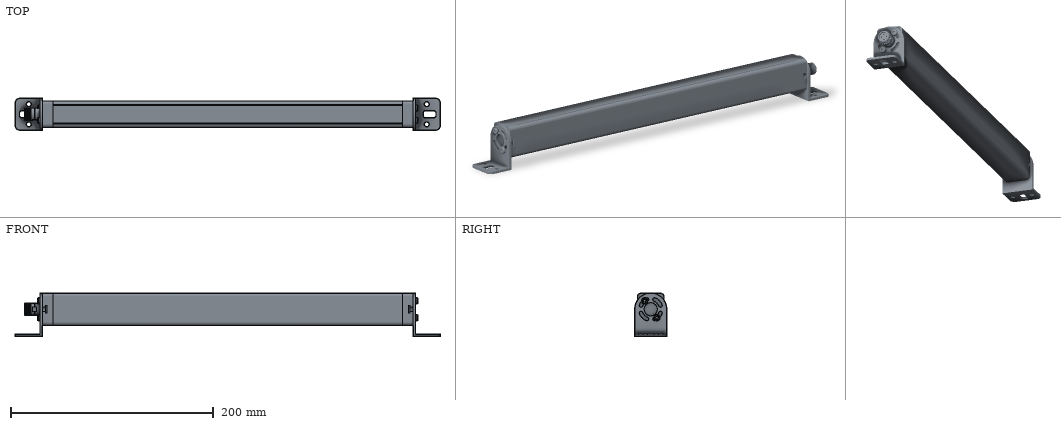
import cadquery as cq
import math

overall_length = 419.3
overall_height = 42.57

bracket_width = 31.75
sheet_thickness = 2.3
bend_radius = 0.4
foot_length = 26.8
foot_corner_radius = 5.0
centre_slot_length = 12.2
centre_slot_width = 6.8
centre_slot_corner_radius = 1.8
centre_slot_from_tip = 10.6
side_hole_diameter = 4.6
side_hole_from_tip = 13.5
side_hole_offset = 10.0
connector_hole_diameter = 13.0
arc_slot_count = 4
arc_slot_radius = 10.3
arc_slot_width = 3.5
arc_slot_half_angle = 24.0

body_width = 26.2
body_bottom = 10.6
corner_radius = 3.5

cap_length = 10.7
latch_length = 1.8
latch_height = 7.0
latch_depth = 2.4
latch_from_bracket = 3.0
latch_channel_diameter = 4.6

lens_width = 17.8
lens_groove_width = 1.0
lens_groove_depth = 0.6

connector_diameter = 12.0
connector_length = 15.4
connector_chamfer = 0.8
thread_length = 6.6
thread_groove_count = 5
thread_groove_width = 0.5
thread_depth = 0.5
collar_neck_width = 0.6
collar_neck_position = 10.0
socket_diameter = 9.0
socket_depth = 1.5
pin_count = 4
pin_diameter = 1.4
pin_circle_radius = 2.8
key_notch_length = 4.0
key_notch_height = 4.0
key_notch_depth = 1.0
key_notch_from_end = 8.0

screw_angle = 54.0
screw_head_diameter = 6.2
screw_head_height = 2.2
screw_head_chamfer = 0.6
screw_shank_diameter = 3.0
screw_depth_in_cap = 6.0
hex_socket_size = 2.5
hex_socket_depth = 1.2

bracket_radius = bracket_width / 2
axis_height = overall_height - bracket_radius
body_height = overall_height - body_bottom
tip_x = -overall_length / 2
bracket_outer_x = tip_x + foot_length - sheet_thickness
cap_outer_x = tip_x + foot_length
cap_inner_x = cap_outer_x + cap_length


def bar(start_x, length):
    """A length of the rounded rectangular bar section."""
    return (
        cq.Workplane("YZ", origin=(start_x, 0, body_bottom + body_height / 2))
        .rect(body_width, body_height)
        .extrude(length)
        .edges("|X")
        .fillet(corner_radius)
    )


def rod(start_x, y, z, diameter, length):
    """A cylinder running along +X."""
    return cq.Workplane("YZ", origin=(start_x, y, z)).circle(diameter / 2).extrude(length)


def polar(radius, degrees):
    """Y and Z of a point around the connector axis."""
    angle = math.radians(degrees)
    return radius * math.cos(angle), axis_height + radius * math.sin(angle)


screw_places = [polar(arc_slot_radius, 180 - screw_angle), polar(arc_slot_radius, -screw_angle)]


def make_housing():
    """Long bar with two grooves that border the lens strip on its top face."""
    length = -2 * cap_inner_x
    grooves = (
        cq.Workplane("XY", origin=(0, 0, overall_height - lens_groove_depth))
        .pushPoints([(0, -lens_width / 2), (0, lens_width / 2)])
        .rect(length, lens_groove_width)
        .extrude(lens_groove_depth)
    )
    return bar(cap_inner_x, length).cut(grooves)


def make_cap():
    """Left end cap with screw holes, and a latch slot with a round lead-in channel in each side."""
    cap = bar(cap_outer_x, cap_length)
    for y, z in screw_places:
        cap = cap.cut(rod(cap_outer_x, y, z, screw_shank_diameter, screw_depth_in_cap))
    latch_x = cap_outer_x + latch_from_bracket + latch_length / 2
    latches = (
        cq.Workplane("XY")
        .pushPoints([(latch_x, -body_width / 2), (latch_x, body_width / 2)])
        .box(latch_length, 2 * latch_depth, latch_height)
        .translate((0, 0, axis_height))
    )
    cap = cap.cut(latches)
    for side_y in (-body_width / 2, body_width / 2):
        cap = cap.cut(rod(cap_outer_x, side_y, axis_height, latch_channel_diameter, latch_from_bracket))
    return cap


def make_connector():
    """Round threaded connector that stands on the left cap, with a shallow pin socket."""
    end_x = bracket_outer_x - connector_length
    radius = connector_diameter / 2
    connector = rod(end_x, 0, axis_height, connector_diameter, cap_outer_x - end_x)
    connector = connector.faces("<X").chamfer(connector_chamfer)

    pitch = (thread_length - connector_chamfer) / thread_groove_count
    grooves = [
        (end_x + connector_chamfer + (turn + 0.5) * pitch, thread_groove_width)
        for turn in range(thread_groove_count)
    ]
    grooves.append((end_x + collar_neck_position, collar_neck_width))
    for groove_x, width in grooves:
        ring = (
            cq.Workplane("YZ", origin=(groove_x, 0, axis_height))
            .circle(radius)
            .circle(radius - thread_depth)
            .extrude(width)
        )
        connector = connector.cut(ring)

    connector = connector.cut(rod(end_x, 0, axis_height, socket_diameter, socket_depth))
    for pin in range(pin_count):
        y, z = polar(pin_circle_radius, pin * 360 / pin_count)
        connector = connector.union(rod(end_x, y, z, pin_diameter, socket_depth))

    key_notch = cq.Workplane("XY").box(key_notch_length, 2 * key_notch_depth, key_notch_height)
    notch_x = end_x + key_notch_from_end + key_notch_length / 2
    return connector.cut(key_notch.translate((notch_x, -radius, axis_height)))


def arc_slot(middle_angle):
    """Round-ended slot that follows a circle around the connector axis."""
    half_width = arc_slot_width / 2
    start = middle_angle - arc_slot_half_angle
    end = middle_angle + arc_slot_half_angle
    inner = arc_slot_radius - half_width
    outer = arc_slot_radius + half_width
    end_cap_turn = math.degrees(half_width / arc_slot_radius)
    return (
        cq.Workplane("YZ", origin=(bracket_outer_x, 0, 0))
        .moveTo(*polar(outer, start))
        .threePointArc(polar(outer, middle_angle), polar(outer, end))
        .threePointArc(polar(arc_slot_radius, end + end_cap_turn), polar(inner, end))
        .threePointArc(polar(inner, middle_angle), polar(inner, start))
        .threePointArc(polar(arc_slot_radius, start - end_cap_turn), polar(outer, start))
        .close()
        .extrude(sheet_thickness)
    )


def make_bracket():
    """Left angle bracket: slotted foot and a round-topped upright."""
    foot = (
        cq.Workplane("XY", origin=(tip_x + foot_length / 2, 0, 0))
        .rect(foot_length, bracket_width)
        .extrude(sheet_thickness)
        .edges("|Z and <X")
        .fillet(foot_corner_radius)
    )
    centre_slot = (
        cq.Workplane("XY", origin=(tip_x + centre_slot_from_tip, 0, 0))
        .rect(centre_slot_length, centre_slot_width)
        .extrude(sheet_thickness)
        .edges("|Z")
        .fillet(centre_slot_corner_radius)
    )
    side_holes = (
        cq.Workplane("XY", origin=(tip_x + side_hole_from_tip, 0, 0))
        .pushPoints([(0, -side_hole_offset), (0, side_hole_offset)])
        .circle(side_hole_diameter / 2)
        .extrude(sheet_thickness)
    )
    upright = (
        cq.Workplane("YZ", origin=(bracket_outer_x, 0, 0))
        .moveTo(-bracket_radius, 0)
        .lineTo(bracket_radius, 0)
        .lineTo(bracket_radius, axis_height)
        .threePointArc((0, overall_height), (-bracket_radius, axis_height))
        .close()
        .extrude(sheet_thickness)
    )
    upright = upright.cut(rod(bracket_outer_x, 0, axis_height, connector_hole_diameter, sheet_thickness))
    for slot in range(arc_slot_count):
        upright = upright.cut(arc_slot((slot + 0.5) * 360 / arc_slot_count))
    bracket = foot.union(upright)
    inner_bend = cq.selectors.NearestToPointSelector((bracket_outer_x, 0, sheet_thickness))
    bracket = bracket.edges(inner_bend).fillet(bend_radius)
    return bracket.cut(centre_slot).cut(side_holes)


def make_screw(y, z):
    """Socket head screw that clamps the left bracket to its cap."""
    head_x = bracket_outer_x - screw_head_height
    head = rod(head_x, y, z, screw_head_diameter, screw_head_height)
    head = head.faces("<X").chamfer(screw_head_chamfer)
    shank = rod(bracket_outer_x, y, z, screw_shank_diameter, sheet_thickness + screw_depth_in_cap)
    socket = (
        cq.Workplane("YZ", origin=(head_x, y, z))
        .polygon(6, hex_socket_size / math.cos(math.pi / 6))
        .extrude(hex_socket_depth)
    )
    return head.union(shank).cut(socket)


plain_cap = make_cap()
left_cap = plain_cap.union(make_connector())
right_cap = plain_cap.mirror("YZ")
left_bracket = make_bracket()
right_bracket = left_bracket.mirror("YZ")
left_screws = [make_screw(y, z) for y, z in screw_places]
right_screws = [screw.mirror("YZ") for screw in left_screws]

bodies = [make_housing(), left_cap, right_cap, left_bracket, right_bracket, *left_screws, *right_screws]
result = cq.Compound.makeCompound([body.val() for body in bodies])